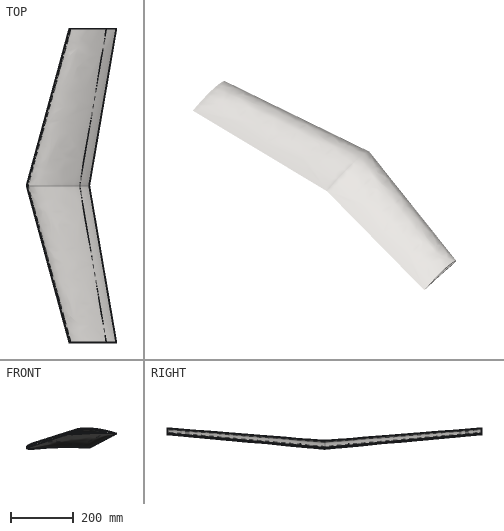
import cadquery as cq
import math

half_span = 1001.58 / 2
root_chord = 200.0
tip_chord = 150.0
tip_trailing_edge_x = 286.4
tip_sweep = tip_trailing_edge_x - tip_chord
tip_rise = 45.57
wall = 4.0

camber = 0.06
camber_position = 0.40
thickness = 0.117

thickness_scale = 5 * thickness
nose_term = 0.2969
power_terms = (-0.1260, -0.3516, 0.2843, -0.1036)

nearly_leading_edge = 1e-6
thickest_station = 0.30
trailing_edge = 1.0

section_steps = 24
bisection_steps = 50


def half_thickness(s):
    """Half thickness of the section at chord fraction s."""
    powers = sum(term * s**n for n, term in enumerate(power_terms, start=1))
    return thickness_scale * (nose_term * math.sqrt(s) + powers)


def half_thickness_slope(s):
    """Derivative of the half thickness with respect to s."""
    powers = sum(n * term * s ** (n - 1) for n, term in enumerate(power_terms, start=1))
    return thickness_scale * (nose_term / (2 * math.sqrt(s)) + powers)


def camber_line(s):
    """Height and slope angle of the camber line at chord fraction s."""
    reach = camber_position if s < camber_position else 1 - camber_position
    offset = camber_position - s
    height = camber * (1 - (offset / reach) ** 2)
    return height, math.atan(2 * camber * offset / reach**2)


def skin_point(s, half, side):
    """Point at distance half from the camber line; side is +1 above, -1 below."""
    height, angle = camber_line(s)
    return s - side * half * math.sin(angle), height + side * half * math.cos(angle)


def inner_skin(s, gap):
    """Chord fraction and half thickness of the skin moved inward by gap."""
    angle = math.atan(half_thickness_slope(s))
    return s + gap * math.sin(angle), half_thickness(s) - gap * math.cos(angle)


def cavity_end(outside, gap):
    """Chord fraction, between outside and mid section, where the inner skins meet."""
    inside = thickest_station
    for _ in range(bisection_steps):
        middle = (outside + inside) / 2
        if inner_skin(middle, gap)[1] > 0:
            inside = middle
        else:
            outside = middle
    return inside


def spaced(start, end):
    """Chord fractions from start to end, closer together near both ends."""
    for i in range(section_steps + 1):
        yield start + (end - start) * (1 - math.cos(math.pi * i / section_steps)) / 2


def outer_stations():
    """Stations (chord fraction, half thickness) of the outer skin."""
    return [(s, half_thickness(s)) for s in spaced(0, trailing_edge)]


def cavity_stations(gap):
    """Stations of the cavity, closed to a point at its nose and tail."""
    nose = cavity_end(nearly_leading_edge, gap)
    tail = cavity_end(trailing_edge, gap)
    stations = [inner_skin(s, gap) for s in spaced(nose, tail)]
    for end in (0, -1):
        stations[end] = (stations[end][0], 0)
    return stations


def section_wire(stations, chord, leading_edge):
    """Closed section parallel to XZ: an upper and a lower spline."""
    edges = []
    for side in (1, -1):
        points = []
        for s, half in stations:
            along, up = skin_point(s, half, side)
            points.append(leading_edge + cq.Vector(chord * along, 0, chord * up))
        edges.append(cq.Edge.makeSpline(points))
    return cq.Wire.assembleEdges(edges)


def root_to_tip(root_stations, tip_stations, direction):
    """Straight loft from the root section to one tip section."""
    root = section_wire(root_stations, root_chord, cq.Vector(0, 0, 0))
    tip_leading_edge = cq.Vector(tip_sweep, direction * half_span, tip_rise)
    tip = section_wire(tip_stations, tip_chord, tip_leading_edge)
    return cq.Workplane(obj=cq.Solid.makeLoft([root, tip], True))


def half_wing(direction):
    """Hollow half wing, open at its ends, reaching toward +Y (1) or -Y (-1)."""
    body = root_to_tip(outer_stations(), outer_stations(), direction)
    cavity = root_to_tip(cavity_stations(wall / root_chord), cavity_stations(wall / tip_chord), direction)
    return body.cut(cavity)


result = half_wing(1).union(half_wing(-1))